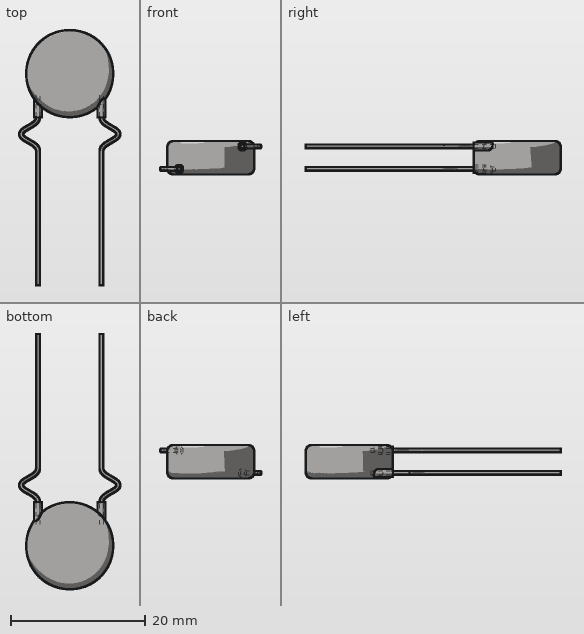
import cadquery as cq

total_length = 38.0
total_width = 15.1

disc_diameter = 13.0
disc_height = 5.0
edge_radius = 1.0

lead_diameter = 0.6
lead_offset_x = 4.7
lead_offset_z = 1.67
sleeve_diameter = 1.2

disc_radius = disc_diameter / 2
sleeve_end_y = -disc_radius
half_kink_length = 2.5
base_handle = 1.25
peak_handle = 0.9
kink_peak_y = sleeve_end_y - half_kink_length
tail_start_y = kink_peak_y - half_kink_length
tail_end_y = disc_radius - total_length
kink_peak_x = total_width / 2 - lead_diameter / 2
lead_root_y = -disc_radius / 2

lead_sides = (-1, 1)


def make_rod(side, diameter, end_y):
    """Round rod along -Y on the lead axis, from the buried root to end_y."""
    return (
        cq.Workplane("XZ", origin=(side * lead_offset_x, lead_root_y, side * lead_offset_z))
        .circle(diameter / 2)
        .extrude(lead_root_y - end_y)
    )


def s_bend_points(start, start_handle, end, end_handle):
    """Control points of an S-curve that leaves start and reaches end running along -Y."""
    return [
        start,
        (start[0], start[1] - start_handle),
        (end[0], end[1] + end_handle),
        end,
    ]


def make_lead(side):
    """Round wire: straight root, outward kink and straight tail."""
    lead_x = side * lead_offset_x
    sleeve_end = (lead_x, sleeve_end_y)
    kink_peak = (side * kink_peak_x, kink_peak_y)
    tail_start = (lead_x, tail_start_y)
    path = (
        cq.Workplane("XY", origin=(0, 0, side * lead_offset_z))
        .moveTo(lead_x, lead_root_y)
        .lineTo(*sleeve_end)
        .bezier(s_bend_points(sleeve_end, base_handle, kink_peak, peak_handle))
        .bezier(s_bend_points(kink_peak, peak_handle, tail_start, base_handle))
        .lineTo(lead_x, tail_end_y)
    )
    return (
        cq.Workplane("XZ", origin=(lead_x, lead_root_y, side * lead_offset_z))
        .circle(lead_diameter / 2)
        .sweep(path)
    )


def make_coating():
    """Rounded disc with two sleeves, bored to take the lead roots."""
    coating = (
        cq.Workplane("XY", origin=(0, 0, -disc_height / 2))
        .circle(disc_radius)
        .extrude(disc_height)
        .edges()
        .fillet(edge_radius)
    )
    for side in lead_sides:
        coating = coating.union(make_rod(side, sleeve_diameter, sleeve_end_y))
    for side in lead_sides:
        coating = coating.cut(make_rod(side, lead_diameter, sleeve_end_y))
    return coating


coating = make_coating()
leads = [make_lead(side) for side in lead_sides]

result = cq.Compound.makeCompound([coating.val(), *[lead.val() for lead in leads]])